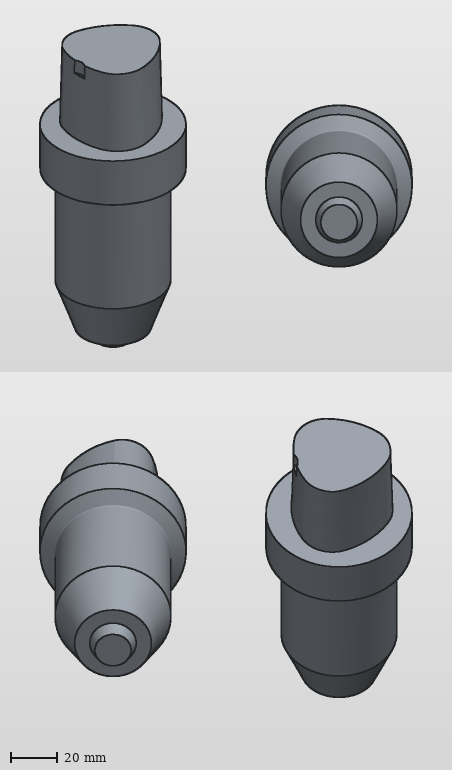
import cadquery as cq
import math

shank_height = 38.0
flange_height = 22.0
body_end = 77.75
taper_end = 101.0
nose_end = 107.0

flange_radius = 63.0 / 2
body_radius = 50.0 / 2
neck_fillet_radius = 1.0
flange_cone_angle = 30.0
nose_taper_angle = 20.0
nose_base_radius = 10.0

lobe_reach = 23.35
flat_reach = 20.3
lobe_center_distance = 8.55
shank_taper_slope = 1 / 40

keyway_depth = 6.25
keyway_floor_distance = 18.2
keyway_radius = 5.5
keyway_width = 7.5


def polar(distance, degrees):
    angle = math.radians(degrees)
    return (distance * math.cos(angle), distance * math.sin(angle))


def make_turned_body():
    """Flange, underside cone, cylindrical body, taper and nose as one revolved profile."""
    cone_height = (flange_radius - body_radius) * math.tan(math.radians(flange_cone_angle))
    corner_z = -flange_height - cone_height
    taper_slope = math.tan(math.radians(nose_taper_angle))
    taper_radius = body_radius - (taper_end - body_end) * taper_slope
    nose_radius = nose_base_radius - (nose_end - taper_end) * taper_slope

    turn_angle = 90 - flange_cone_angle
    tangent_length = neck_fillet_radius * math.tan(math.radians(turn_angle / 2))
    cone_step = polar(tangent_length, flange_cone_angle)
    fillet_start = (body_radius + cone_step[0], corner_z + cone_step[1])
    fillet_end = (body_radius, corner_z - tangent_length)
    middle_step = polar(neck_fillet_radius, 180 - turn_angle / 2)
    fillet_middle = (
        body_radius + neck_fillet_radius + middle_step[0],
        fillet_end[1] + middle_step[1],
    )

    return (
        cq.Workplane("XZ")
        .lineTo(flange_radius, 0)
        .lineTo(flange_radius, -flange_height)
        .lineTo(*fillet_start)
        .threePointArc(fillet_middle, fillet_end)
        .lineTo(body_radius, -body_end)
        .lineTo(taper_radius, -taper_end)
        .lineTo(nose_base_radius, -taper_end)
        .lineTo(nose_radius, -nose_end)
        .lineTo(0, -nose_end)
        .close()
        .revolve(360, (0, 0), (0, 1))
    )


def polygon_wire(height):
    """Rounded triangle of six tangent arcs, shrinking evenly with height."""
    inset = height * shank_taper_slope
    lobe_radius = lobe_reach - lobe_center_distance
    center_x, center_y = polar(lobe_center_distance, -30)
    rise = flat_reach + center_y
    flat_radius = (center_x**2 + rise**2 - lobe_radius**2) / (2 * (rise - lobe_radius))
    flat_center_distance = flat_radius - flat_reach
    half_span = math.degrees(math.atan2(center_x, flat_center_distance - center_y))

    def flat_point(direction, offset):
        """Point on the large arc of the flat facing the given direction."""
        center = polar(flat_center_distance, direction + 180)
        reach = polar(flat_radius - inset, direction + offset)
        return (center[0] + reach[0], center[1] + reach[1])

    outline = cq.Workplane("XY").workplane(offset=height).moveTo(*flat_point(-90, -half_span))
    for direction in (-90, 30, 150):
        lobe_tip = polar(lobe_reach - inset, direction + 60)
        outline = outline.threePointArc(flat_point(direction, 0), flat_point(direction, half_span))
        outline = outline.threePointArc(lobe_tip, flat_point(direction + 120, -half_span))
    return outline.close().val()


def make_shank():
    wires = [polygon_wire(0), polygon_wire(shank_height)]
    return cq.Workplane(cq.Solid.makeLoft(wires, True))


def make_keyway():
    """Straight-sided slot with an arched back wall, open outward and upward."""
    half_width = keyway_width / 2
    arch_rise = keyway_radius - math.sqrt(keyway_radius**2 - half_width**2)
    side_start = -keyway_floor_distance - arch_rise
    return (
        cq.Workplane("XY")
        .workplane(offset=shank_height - keyway_depth)
        .moveTo(-half_width, -lobe_reach)
        .lineTo(-half_width, side_start)
        .threePointArc((0, -keyway_floor_distance), (half_width, side_start))
        .lineTo(half_width, -lobe_reach)
        .close()
        .extrude(keyway_depth)
    )


result = make_turned_body().union(make_shank()).cut(make_keyway())